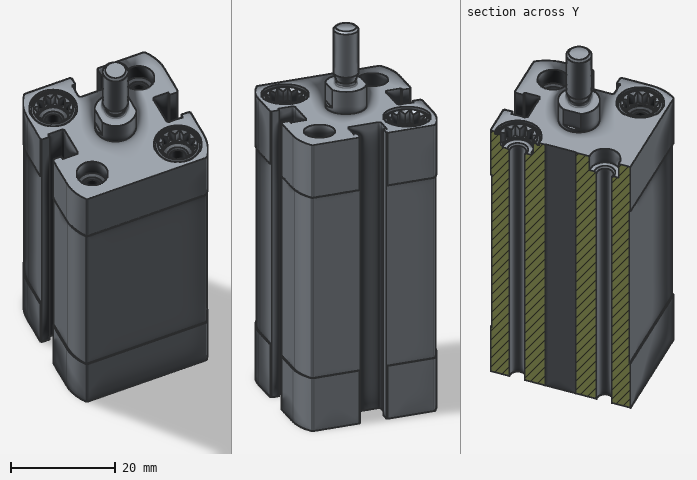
import cadquery as cq
import math

TOTAL_HEIGHT = 77.1
HOUSING_WIDTH = 29.0
HOUSING_HEIGHT = 60.5
CAP_HEIGHT = 11.2
BARREL_INSET = 0.2

CORNER_CENTRE_X = 9.0
CORNER_Y = 12.65
EDGE_FILLET = 0.5

SLOT_MOUTH_WIDTH = 5.4
SLOT_INNER_WIDTH = 6.8
SLOT_LIP = 1.85
SLOT_DEPTH = 5.2
MOUTH_FILLET = BARREL_INSET

HOLE_OFFSET = 9.0
THROUGH_DIAMETER = 3.2
COUNTERSINK_DIAMETER = 4.0
COUNTERBORE_DIAMETER = 6.0
COUNTERBORE_DEPTH = 3.5

SOCKET_POINTS = 12
SOCKET_OUTER_DIAMETER = 7.55
SOCKET_DEPTH = 3.0
LEAD_IN_DIAMETER = SOCKET_OUTER_DIAMETER
LEAD_IN_ANGLE = 40.0
GROOVE_OUTER_DIAMETER = 9.2
GROOVE_INNER_DIAMETER = 8.5
GROOVE_DEPTH = 0.6
CREST_DIAMETER = 7.7
CREST_DEPTH = 0.2

COLLAR_DIAMETER = 8.0
COLLAR_HEIGHT = 4.7
FLAT_WIDTH = 7.2
FLAT_HEIGHT = 3.8
FLAT_RUNOUT = 0.2
THREAD_DIAMETER = 4.85
THREAD_LENGTH = 9.55
THREAD_CHAMFER = 0.5
NECK_DIAMETER = 3.8
NECK_TAPER_HEIGHT = 1.55
NECK_FILLET = 0.2

COLLAR_TOP = HOUSING_HEIGHT + COLLAR_HEIGHT
ROD_BOTTOM = HOUSING_HEIGHT - CAP_HEIGHT


def housing_block(inset, height):
    """Block with flat X sides and Y sides that curve away towards filleted corners."""
    half = HOUSING_WIDTH / 2 - inset
    reach = half - CORNER_CENTRE_X
    drop = half - CORNER_Y
    radius = (reach**2 + drop**2) / (2 * drop)
    middle_angle = math.asin(reach / radius) / 2
    arc_x = CORNER_CENTRE_X + radius * math.sin(middle_angle)
    arc_y = half - radius * (1 - math.cos(middle_angle))
    outline = (
        cq.Workplane("XY")
        .moveTo(-half, -CORNER_Y)
        .threePointArc((-arc_x, -arc_y), (-CORNER_CENTRE_X, -half))
        .lineTo(CORNER_CENTRE_X, -half)
        .threePointArc((arc_x, -arc_y), (half, -CORNER_Y))
        .lineTo(half, CORNER_Y)
        .threePointArc((arc_x, arc_y), (CORNER_CENTRE_X, half))
        .lineTo(-CORNER_CENTRE_X, half)
        .threePointArc((-arc_x, arc_y), (-half, CORNER_Y))
        .close()
    )
    block = outline.extrude(height)
    return block.edges("|Z and (<X or >X)").fillet(EDGE_FILLET)


def t_slot(angle):
    """Full-height T-slot cutter, flared at the cap faces, for the side facing an angle in degrees."""
    face = HOUSING_WIDTH / 2
    floor = face - SLOT_DEPTH
    lip = face - SLOT_LIP
    half_mouth = SLOT_MOUTH_WIDTH / 2
    half_flare = half_mouth + MOUTH_FILLET
    inner = (
        cq.Workplane("XY")
        .box(lip - floor, SLOT_INNER_WIDTH, HOUSING_HEIGHT, centered=(False, True, False))
        .edges("|Z and <X")
        .fillet(EDGE_FILLET)
        .translate((floor, 0, 0))
    )
    mouth = (
        cq.Workplane("XY")
        .moveTo(floor, -half_mouth)
        .lineTo(face - MOUTH_FILLET, -half_mouth)
        .radiusArc((face, -half_flare), -MOUTH_FILLET)
        .lineTo(face, half_flare)
        .radiusArc((face - MOUTH_FILLET, half_mouth), -MOUTH_FILLET)
        .lineTo(floor, half_mouth)
        .close()
        .extrude(HOUSING_HEIGHT)
    )
    return mouth.union(inner).rotate((0, 0, 0), (0, 0, 1), angle)


def mounting_hole():
    """Through hole with a countersink at the bottom of a counterbore, centred on the Z axis."""
    floor = HOUSING_HEIGHT - COUNTERBORE_DEPTH
    through_radius = THROUGH_DIAMETER / 2
    sink_radius = COUNTERSINK_DIAMETER / 2
    bore_radius = COUNTERBORE_DIAMETER / 2
    return (
        cq.Workplane("XZ")
        .moveTo(0, 0)
        .lineTo(through_radius, 0)
        .lineTo(through_radius, floor - (sink_radius - through_radius))
        .lineTo(sink_radius, floor)
        .lineTo(bore_radius, floor)
        .lineTo(bore_radius, HOUSING_HEIGHT)
        .lineTo(0, HOUSING_HEIGHT)
        .close()
        .revolve(360, (0, 0, 0), (0, 1, 0))
    )


def socket():
    """Cutter for a star socket with a conical lead-in and a bevelled groove around its sunken crest."""
    points = []
    for index in range(2 * SOCKET_POINTS):
        diameter = COUNTERBORE_DIAMETER if index % 2 else SOCKET_OUTER_DIAMETER
        angle = math.pi * index / SOCKET_POINTS
        points.append((diameter / 2 * math.cos(angle), diameter / 2 * math.sin(angle)))
    star = (
        cq.Workplane("XY", origin=(0, 0, HOUSING_HEIGHT - SOCKET_DEPTH))
        .polyline(points)
        .close()
        .extrude(SOCKET_DEPTH)
    )
    crest_z = HOUSING_HEIGHT - CREST_DEPTH
    lead_in_depth = LEAD_IN_DIAMETER / 2 * math.tan(math.radians(LEAD_IN_ANGLE))
    groove_z = HOUSING_HEIGHT - GROOVE_DEPTH
    top_cut = (
        cq.Workplane("XZ")
        .moveTo(0, crest_z - lead_in_depth)
        .lineTo(LEAD_IN_DIAMETER / 2, crest_z)
        .lineTo(CREST_DIAMETER / 2, crest_z)
        .lineTo(GROOVE_INNER_DIAMETER / 2, groove_z)
        .lineTo(GROOVE_OUTER_DIAMETER / 2, groove_z)
        .lineTo(GROOVE_OUTER_DIAMETER / 2, HOUSING_HEIGHT)
        .lineTo(0, HOUSING_HEIGHT)
        .close()
        .revolve(360, (0, 0, 0), (0, 1, 0))
    )
    return star.union(top_cut)


def make_housing():
    """Barrel between two end caps, with T-slots, mounting holes and the rod bore."""
    cap = housing_block(0, CAP_HEIGHT)
    body = housing_block(BARREL_INSET, HOUSING_HEIGHT)
    body = body.union(cap).union(cap.translate((0, 0, HOUSING_HEIGHT - CAP_HEIGHT)))
    for angle in (90, 180, 270):
        body = body.cut(t_slot(angle))
    for side_x in (-1, 1):
        for side_y in (-1, 1):
            place = (side_x * HOLE_OFFSET, side_y * HOLE_OFFSET, 0)
            body = body.cut(mounting_hole().translate(place))
            if side_x == side_y:
                body = body.cut(socket().translate(place))
    rod_bore = cq.Workplane("XY", origin=(0, 0, ROD_BOTTOM)).circle(COLLAR_DIAMETER / 2).extrude(CAP_HEIGHT)
    return body.cut(rod_bore)


def wrench_flat():
    """Cutter for the wrench flat on the +Y side of the collar, with a sloping ledge at its foot."""
    flat_y = FLAT_WIDTH / 2
    outer_y = COLLAR_DIAMETER / 2
    ledge_z = COLLAR_TOP - FLAT_HEIGHT
    return (
        cq.Workplane("YZ")
        .moveTo(flat_y, ledge_z)
        .lineTo(outer_y, ledge_z - FLAT_RUNOUT)
        .lineTo(outer_y, COLLAR_TOP)
        .lineTo(flat_y, COLLAR_TOP)
        .close()
        .extrude(outer_y, both=True)
    )


def make_rod():
    """Piston rod with wrench flats, an undercut neck and a chamfered threaded end."""
    neck_radius = NECK_DIAMETER / 2
    thread_radius = THREAD_DIAMETER / 2
    thread_bottom = TOTAL_HEIGHT - THREAD_LENGTH
    rod = (
        cq.Workplane("XZ")
        .moveTo(0, ROD_BOTTOM)
        .lineTo(COLLAR_DIAMETER / 2, ROD_BOTTOM)
        .lineTo(COLLAR_DIAMETER / 2, COLLAR_TOP)
        .lineTo(neck_radius + NECK_FILLET, COLLAR_TOP)
        .radiusArc((neck_radius, COLLAR_TOP + NECK_FILLET), NECK_FILLET)
        .lineTo(neck_radius, thread_bottom - NECK_TAPER_HEIGHT)
        .lineTo(thread_radius, thread_bottom)
        .lineTo(thread_radius, TOTAL_HEIGHT - THREAD_CHAMFER)
        .lineTo(thread_radius - THREAD_CHAMFER, TOTAL_HEIGHT)
        .lineTo(0, TOTAL_HEIGHT)
        .close()
        .revolve(360, (0, 0, 0), (0, 1, 0))
    )
    for angle in (0, 180):
        rod = rod.cut(wrench_flat().rotate((0, 0, 0), (0, 0, 1), angle))
    return rod


housing = make_housing()
rod = make_rod()

result = cq.Compound.makeCompound([housing.val(), rod.val()])